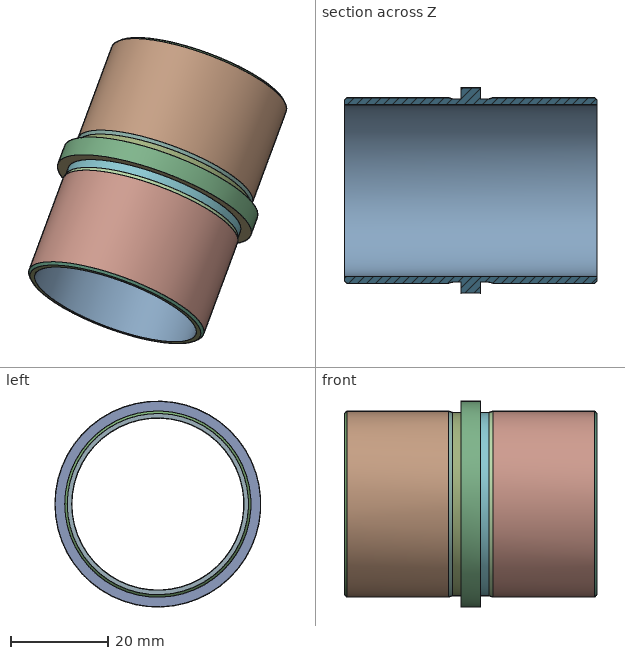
import cadquery as cq

length = 52.0
collar_diameter = 42.4
collar_width = 4.05
tube_diameter = 38.3
bore_diameter = 35.35
end_chamfer = 0.5

relief_depth = 0.25
relief_length = 1.75
relief_slope_length = 0.8

half_length = length / 2
collar_radius = collar_diameter / 2
tube_radius = tube_diameter / 2
bore_radius = bore_diameter / 2
relief_radius = tube_radius - relief_depth
collar_side = collar_width / 2
relief_end = collar_side + relief_length
slope_end = relief_end + relief_slope_length

right_outline = [
    (collar_side, collar_radius),
    (collar_side, relief_radius),
    (relief_end, relief_radius),
    (slope_end, tube_radius),
    (half_length - end_chamfer, tube_radius),
    (half_length, tube_radius - end_chamfer),
    (half_length, bore_radius),
]
left_outline = [(-x, radius) for x, radius in reversed(right_outline)]

result = (
    cq.Workplane("XY")
    .polyline(left_outline + right_outline)
    .close()
    .revolve(360, (0, 0, 0), (1, 0, 0))
)